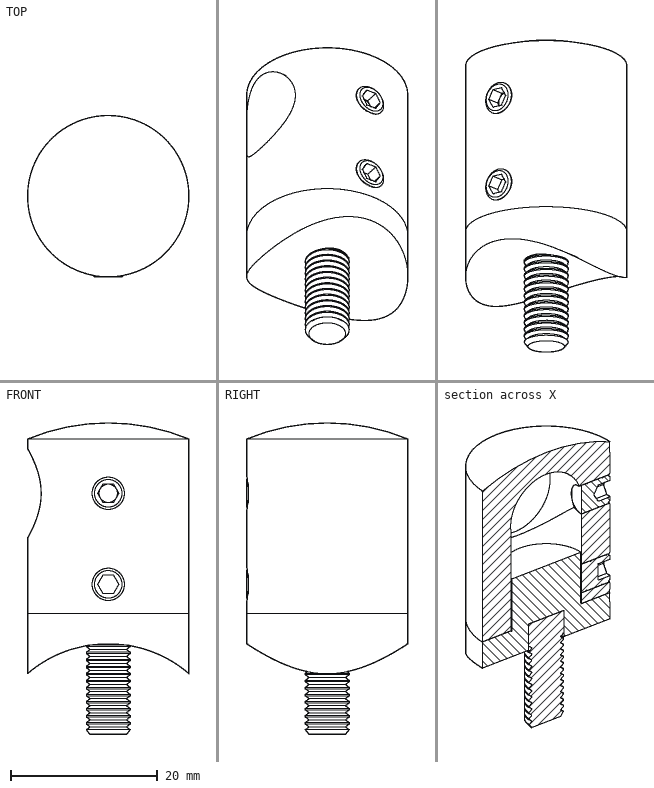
import cadquery as cq
import math

BODY_DIAMETER = 22.0
BODY_RADIUS = BODY_DIAMETER / 2

HOUSING_HEIGHT = 26.0
DOME_HEIGHT = 2.2
BAR_HOLE_DIAMETER = 12.2
BAR_HOLE_Z = 16.4
BAR_HOLE_END_X = 7.0
BORE_DIAMETER = 12.0

SPIGOT_DIAMETER = 11.9
SPIGOT_HEIGHT = 8.2
SADDLE_DIAMETER = 33.7
SADDLE_APEX_Z = -4.1

STUD_DIAMETER = 6.0
STUD_CORE_DIAMETER = 5.0
STUD_END_Z = -16.45
STUD_TOP_Z = 0.0
STUD_CHAMFER_LENGTH = 0.64
THREAD_PITCH = 0.96
THREAD_CREST = 0.18

SCREW_DIAMETER = 4.4
SCREW_FACE_DIAMETER = 3.75
SCREW_CHAMFER_DEPTH = 0.3
SCREW_HOLE_RIM_RADIUS = 0.22
SCREW_TIP_RADIUS = BORE_DIAMETER / 2
SCREW_LENGTH = BODY_RADIUS - SCREW_TIP_RADIUS
SOCKET_ACROSS_FLATS = 2.5
SOCKET_DEPTH = 2.0
SOCKET_POINT_ANGLE = 118.0
SPIGOT_SCREW_Z = 4.0


def cylinder_from_front(diameter, length, z):
    """Cylinder that starts level with the front of the body and runs inward along +Y."""
    return (
        cq.Workplane("XZ", origin=(0, -BODY_RADIUS, z))
        .circle(diameter / 2)
        .extrude(-length)
    )


def make_housing():
    """Domed cylinder with a blind bar hole, a bore for the spigot and two screw holes."""
    shoulder_z = HOUSING_HEIGHT - DOME_HEIGHT
    dome_radius = (BODY_RADIUS**2 + DOME_HEIGHT**2) / (2 * DOME_HEIGHT)
    dome_center_z = HOUSING_HEIGHT - dome_radius
    half_angle = math.asin(BODY_RADIUS / dome_radius) / 2
    dome_middle = (
        dome_radius * math.sin(half_angle),
        dome_center_z + dome_radius * math.cos(half_angle),
    )
    housing = (
        cq.Workplane("XZ")
        .lineTo(BODY_RADIUS, 0)
        .lineTo(BODY_RADIUS, shoulder_z)
        .threePointArc(dome_middle, (0, HOUSING_HEIGHT))
        .close()
        .revolve(360, (0, 0, 0), (0, 1, 0))
    )
    bar_hole = (
        cq.Workplane("YZ", origin=(-BODY_RADIUS, 0, BAR_HOLE_Z))
        .circle(BAR_HOLE_DIAMETER / 2)
        .extrude(BODY_RADIUS + BAR_HOLE_END_X)
    )
    bore = cq.Workplane("XY").circle(BORE_DIAMETER / 2).extrude(BAR_HOLE_Z)
    housing = housing.cut(bar_hole).cut(bore)
    for z in (SPIGOT_SCREW_Z, BAR_HOLE_Z):
        housing = housing.cut(cylinder_from_front(SCREW_DIAMETER, BODY_RADIUS, z))
    hole_reach = SCREW_DIAMETER
    for z in (SPIGOT_SCREW_Z, BAR_HOLE_Z):
        rim_box = cq.selectors.BoxSelector(
            (-hole_reach, -BODY_RADIUS - hole_reach, z - hole_reach),
            (hole_reach, -BODY_RADIUS + 1, z + hole_reach),
        )
        housing = housing.edges(rim_box).fillet(SCREW_HOLE_RIM_RADIUS)
    return housing


def make_saddle_base():
    """Disc with a spigot on top, a saddle for a tube along Y below and a hole for the stud."""
    saddle_axis_z = SADDLE_APEX_Z - SADDLE_DIAMETER / 2
    tube = (
        cq.Workplane("XZ", origin=(0, 0, saddle_axis_z))
        .circle(SADDLE_DIAMETER / 2)
        .extrude(BODY_RADIUS, both=True)
    )
    spigot = cq.Workplane("XY").circle(SPIGOT_DIAMETER / 2).extrude(SPIGOT_HEIGHT)
    stud_hole_height = STUD_TOP_Z - saddle_axis_z
    stud_hole = (
        cq.Workplane("XY", origin=(0, 0, saddle_axis_z))
        .circle(STUD_DIAMETER / 2)
        .extrude(stud_hole_height)
    )
    return (
        cq.Workplane("XY", origin=(0, 0, saddle_axis_z))
        .circle(BODY_RADIUS)
        .extrude(-saddle_axis_z)
        .cut(tube)
        .union(spigot)
        .cut(stud_hole)
    )


def make_stud():
    """Stud with a chamfered end and V-shaped ring grooves spaced one thread pitch apart."""
    radius = STUD_DIAMETER / 2
    core_radius = STUD_CORE_DIAMETER / 2
    groove_width = THREAD_PITCH - THREAD_CREST
    first_groove_z = STUD_END_Z + STUD_CHAMFER_LENGTH
    groove_count = math.ceil((SADDLE_APEX_Z - first_groove_z) / THREAD_PITCH)

    profile = (
        cq.Workplane("XZ")
        .moveTo(0, STUD_END_Z)
        .lineTo(core_radius, STUD_END_Z)
        .lineTo(radius, first_groove_z)
    )
    for i in range(groove_count):
        groove_z = first_groove_z + i * THREAD_PITCH
        profile = (
            profile.lineTo(core_radius, groove_z + groove_width / 2)
            .lineTo(radius, groove_z + groove_width)
            .lineTo(radius, groove_z + THREAD_PITCH)
        )
    return (
        profile.lineTo(radius, STUD_TOP_Z)
        .lineTo(0, STUD_TOP_Z)
        .close()
        .revolve(360, (0, 0, 0), (0, 1, 0))
    )


def make_set_screw(z, pointed_socket):
    """Set screw along Y with a chamfered outer end and a hexagon socket."""
    face = cq.Workplane("XZ", origin=(0, -BODY_RADIUS, z))
    chamfer = (
        face.circle(SCREW_FACE_DIAMETER / 2)
        .workplane(offset=-SCREW_CHAMFER_DEPTH)
        .circle(SCREW_DIAMETER / 2)
        .loft(ruled=True)
    )
    shank = cylinder_from_front(SCREW_DIAMETER, SCREW_LENGTH, z).cut(
        cylinder_from_front(SCREW_DIAMETER, SCREW_CHAMFER_DEPTH, z)
    )
    socket_corner_diameter = SOCKET_ACROSS_FLATS / math.cos(math.pi / 6)
    socket = face.polygon(6, socket_corner_diameter).extrude(-SOCKET_DEPTH)
    screw = shank.union(chamfer).cut(socket)
    if pointed_socket:
        point_radius = SOCKET_ACROSS_FLATS / 2
        point_depth = point_radius / math.tan(math.radians(SOCKET_POINT_ANGLE / 2))
        point = cq.Solid.makeCone(
            point_radius,
            0,
            point_depth,
            pnt=cq.Vector(0, -BODY_RADIUS + SOCKET_DEPTH, z),
            dir=cq.Vector(0, 1, 0),
        )
        screw = screw.cut(cq.Workplane(obj=point))
    return screw


housing = make_housing()
saddle_base = make_saddle_base()
stud = make_stud()
set_screws = []
for screw_z, pointed_socket in ((BAR_HOLE_Z, True), (SPIGOT_SCREW_Z, False)):
    set_screws.append(make_set_screw(screw_z, pointed_socket).val())

result = cq.Compound.makeCompound([housing.val(), saddle_base.val(), stud.val(), *set_screws])